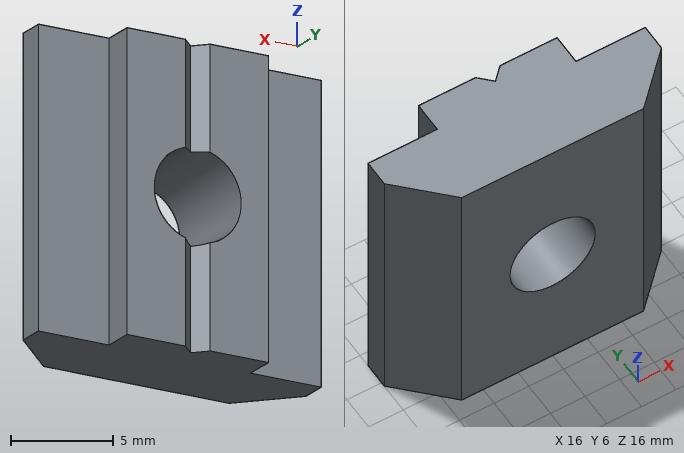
import cadquery as cq

width = 16.0
depth = 6.0
height = 16.0

bevel = 2.75
rib_width = width / 2
rib_height = 1.75
groove_depth = 0.7

hole_diameter = 4.91

half_width = width / 2
half_rib = rib_width / 2
front_y = -depth / 2
back_y = depth / 2
shoulder_y = back_y - rib_height


def make_body():
    """T-shaped section, extruded along Z and centred on the origin."""
    right_half = [
        (half_width - bevel, front_y),
        (half_width, front_y + bevel),
        (half_width, shoulder_y),
        (half_rib, shoulder_y),
        (half_rib, back_y),
        (groove_depth, back_y),
    ]
    groove_bottom = (0, back_y - groove_depth)
    left_half = [(-x, y) for x, y in reversed(right_half)]
    outline = right_half + [groove_bottom] + left_half
    return cq.Workplane("XY").polyline(outline).close().extrude(height / 2, both=True)


def make_hole():
    """Round cutter through the full depth, centred on the front face."""
    return cq.Workplane("XZ", origin=(0, back_y, 0)).circle(hole_diameter / 2).extrude(depth)


result = make_body().cut(make_hole())